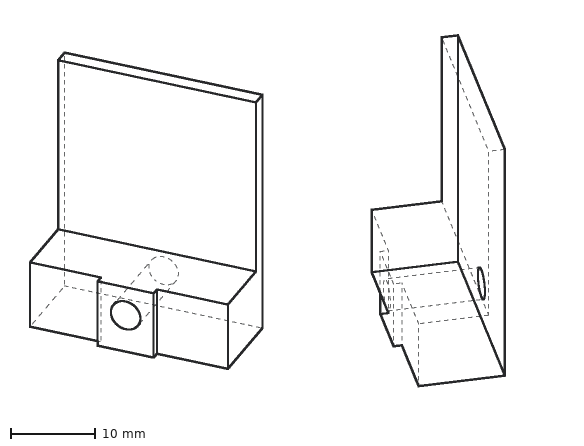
import cadquery as cq

width = 25.5
depth = 11.5
height = 32.0

plate_thickness = 2.0
block_height = 8.83

pad_width = 7.23
pad_thickness = 1.0
hole_diameter = 3.8
hole_height = 5.0

block_depth = depth - pad_thickness


def box_against_back(size_x, size_y, size_z):
    """Box centred in X, standing on Z = 0, with its back face at Y = depth."""
    return (
        cq.Workplane("XY")
        .box(size_x, size_y, size_z, centered=(True, False, False))
        .translate((0, depth - size_y, 0))
    )


plate = box_against_back(width, plate_thickness, height)
block = box_against_back(width, block_depth, block_height)
pad = box_against_back(pad_width, depth, block_height)

hole = (
    cq.Workplane("XZ")
    .center(0, hole_height)
    .circle(hole_diameter / 2)
    .extrude(-depth)
)

result = plate.union(block).union(pad).cut(hole)